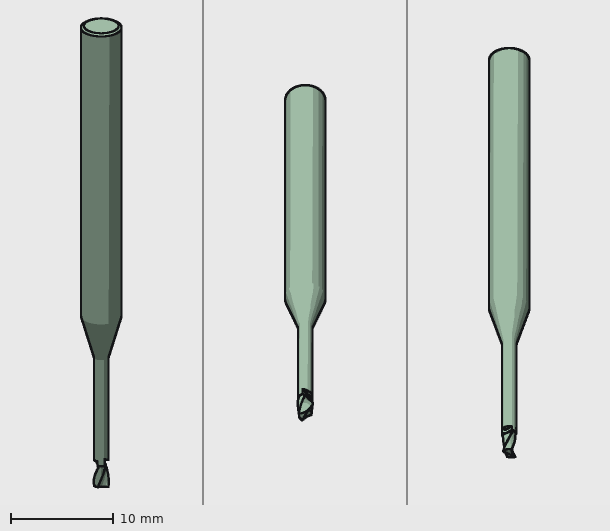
import cadquery as cq
import math

tool_length = 50.0
shank_diameter = 4.0
shank_chamfer_height = 0.2
shank_chamfer_width = 0.3
shank_start = 18.5

neck_diameter = 1.45
neck_end = 14.0

cutter_diameter = 1.5
cutter_length = 2.5
helix_angle = 25.0
edge_count = 2
core_diameter = 0.6
margin_angle = 20.0
margin_relief = 0.05
land_angle = 70.0
heel_relief = 0.15
end_relief_angle = 12.0

runout_angle = 195.0
runout_floor = 0.35
runout_height = 0.45
runout_rise = 0.35
runout_rise_start = 0.2

shank_radius = shank_diameter / 2
neck_radius = neck_diameter / 2
cutter_radius = cutter_diameter / 2
margin_radius = cutter_radius - margin_relief
heel_radius = cutter_radius - heel_relief
helix_lead = math.pi * cutter_diameter / math.tan(math.radians(helix_angle))
cutter_twist = 360.0 * cutter_length / helix_lead
edge_pitch = 360.0 / edge_count
edge_angles = [edge_pitch * i for i in range(edge_count)]
flute_middle_angle = (land_angle + edge_pitch) / 2


def polar(radius, angle):
    """X and Y of a point at the given radius and angle about the tool axis."""
    return radius * math.cos(math.radians(angle)), radius * math.sin(math.radians(angle))


def tip_section():
    """Cross-section of the tip: behind each edge a flat margin, a relieved land and a concave flute."""
    section = cq.Workplane("XY").moveTo(*polar(cutter_radius, edge_angles[0]))
    for edge in edge_angles:
        land_middle = polar((margin_radius + heel_radius) / 2, edge + (margin_angle + land_angle) / 2)
        flute_bottom = polar(core_diameter / 2, edge + flute_middle_angle)
        section = section.lineTo(*polar(margin_radius, edge + margin_angle))
        section = section.threePointArc(land_middle, polar(heel_radius, edge + land_angle))
        section = section.threePointArc(flute_bottom, polar(cutter_radius, edge + edge_pitch))
    return section.close()


def flute_runout(edge):
    """Pocket that ends one flute in the neck: flat floor, with a roof that slopes up towards the heel."""
    outward = edge + runout_angle
    floor = cq.Plane(
        origin=(*polar(runout_floor, outward), cutter_length),
        xDir=(*polar(1, outward + 90), 0),
        normal=(*polar(1, outward), 0),
    )
    outline = [
        (-neck_radius, 0),
        (neck_radius, 0),
        (neck_radius, runout_height),
        (-runout_rise_start, runout_height),
        (-neck_radius, runout_height + runout_rise),
    ]
    return cq.Workplane(floor).polyline(outline).close().extrude(neck_radius)


def end_relief():
    """Wedges that leave the two end cutting edges lowest, along X."""
    rise = cutter_radius * math.tan(math.radians(end_relief_angle))
    side = [(0, 0), (cutter_radius, 0), (cutter_radius, rise)]
    wedge = cq.Workplane("YZ").polyline(side).close().extrude(cutter_radius, both=True)
    return wedge.union(wedge.mirror("XZ"))


def make_holder():
    """Shank, cone and neck, turned in one piece, with the flute runouts cut into the neck."""
    profile = [
        (0, cutter_length),
        (-neck_radius, cutter_length),
        (-neck_radius, neck_end),
        (-shank_radius, shank_start),
        (-shank_radius, tool_length - shank_chamfer_height),
        (shank_chamfer_width - shank_radius, tool_length),
        (0, tool_length),
    ]
    body = cq.Workplane("YZ").polyline(profile).close().revolve(360, (0, 0), (0, 1))
    for edge in edge_angles:
        body = body.cut(flute_runout(edge))
    return body


def make_cutting_tip():
    """Twisted cutting tip with a relieved end."""
    body = tip_section().twistExtrude(cutter_length, cutter_twist)
    return body.cut(end_relief())


holder = make_holder()
cutting_tip = make_cutting_tip()

result = cq.Compound.makeCompound([holder.val(), cutting_tip.val()])